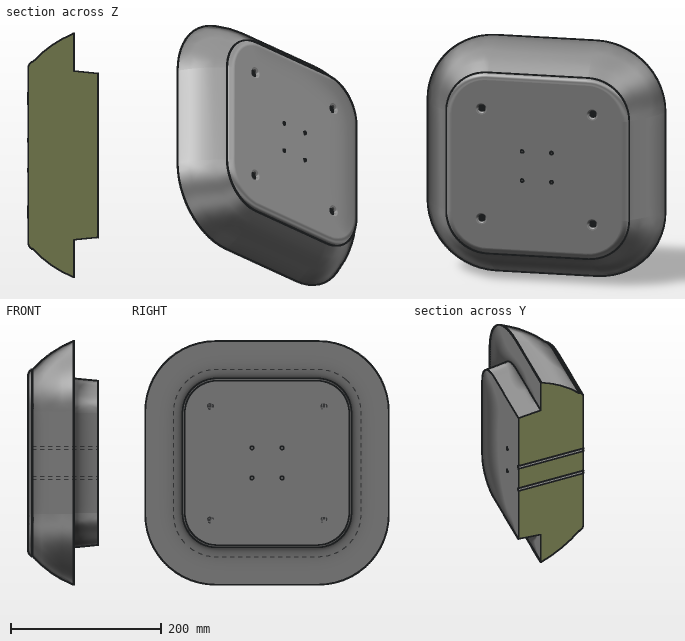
import cadquery as cq
import math

total_depth = 93.43
rim_size = 324.32
rim_back = 61.5
rim_band = 1.0
rim_corner_radius = 94.0

face_half = 115.3
shoulder_half = 124.6
shoulder_depth = 5.3
shoulder_band = 1.2
shoulder_bulge = 1.5
flank_bulge = 3.7

box_size = 225.0
box_corner_radius = 46.0
box_taper = 5.7

screw_spacing = 151.0
screw_mouth_diameter = 15.5
screw_floor_diameter = 8.0
screw_floor_depth = 5.0
cross_length = 6.0
cross_width = 1.6
cross_depth = 2.0
wire_hole_spacing = 40.0
wire_hole_diameter = 4.0

quarter_turn = 90
full_turn = 360
rim_half = rim_size / 2
corner_centre = rim_half - rim_corner_radius


def bulged_midpoint(start, end, bulge):
    """Point off the middle of a chord, to the outer front side of it."""
    run = end[0] - start[0]
    rise = end[1] - start[1]
    length = math.hypot(run, rise)
    return (
        (start[0] + end[0]) / 2 - bulge * rise / length,
        (start[1] + end[1]) / 2 + bulge * run / length,
    )


def dish_section(inner):
    """Dish cross-section in the XY plane, from the offset `inner` out to the rim."""
    face_edge = (0, face_half)
    shoulder = (shoulder_depth, shoulder_half)
    flank_start = (shoulder_depth + shoulder_band, shoulder_half)
    rim_front = (rim_back - rim_band, rim_half)
    return (
        cq.Workplane("XY")
        .moveTo(0, inner)
        .lineTo(*face_edge)
        .threePointArc(bulged_midpoint(face_edge, shoulder, shoulder_bulge), shoulder)
        .lineTo(*flank_start)
        .threePointArc(bulged_midpoint(flank_start, rim_front, flank_bulge), rim_front)
        .lineTo(rim_back, rim_half)
        .lineTo(rim_back, inner)
        .close()
    )


def make_dish():
    """Rounded-square dish: a core, four straight sides and four revolved corners."""
    core_size = 2 * corner_centre
    dish = cq.Workplane("YZ").rect(core_size, core_size).extrude(rim_back)
    side = dish_section(corner_centre).extrude(corner_centre, both=True)
    corner = dish_section(corner_centre).revolve(
        quarter_turn, (0, corner_centre, 0), (1, corner_centre, 0)
    ).translate((0, 0, corner_centre))
    for quarter in range(4):
        angle = quarter_turn * quarter
        dish = dish.union(side.rotate((0, 0, 0), (1, 0, 0), angle))
        dish = dish.union(corner.rotate((0, 0, 0), (1, 0, 0), angle))
    return dish


def make_box():
    """Rear box, narrowing towards the back."""
    outline = cq.Sketch().rect(box_size, box_size).vertices().fillet(box_corner_radius)
    return (
        cq.Workplane("YZ", origin=(rim_back, 0, 0))
        .placeSketch(outline)
        .extrude(total_depth - rim_back, taper=box_taper)
    )


def make_screw_holes():
    """Blind round-lipped recesses with a cross slot in the floor, one near each face corner."""
    floor_radius = screw_floor_diameter / 2
    mouth_radius = screw_mouth_diameter / 2
    lip_radius = mouth_radius - floor_radius
    lip_reach = lip_radius * math.sqrt(0.5)
    lip_middle = (lip_radius - lip_reach, mouth_radius - lip_reach)
    recess = (
        cq.Workplane("XY")
        .lineTo(0, mouth_radius)
        .threePointArc(lip_middle, (lip_radius, floor_radius))
        .lineTo(screw_floor_depth, floor_radius)
        .lineTo(screw_floor_depth, 0)
        .close()
        .revolve(full_turn, (0, 0, 0), (1, 0, 0))
    )
    slot_bottom = screw_floor_depth + cross_depth
    slot = cq.Workplane("YZ").rect(cross_length, cross_width).extrude(slot_bottom)
    hole = recess.union(slot).union(slot.rotate((0, 0, 0), (1, 0, 0), quarter_turn))
    half = screw_spacing / 2
    holes = cq.Workplane("YZ")
    for y in (-half, half):
        for z in (-half, half):
            holes = holes.add(hole.translate((0, y, z)))
    return holes.combine()


def make_wire_holes():
    """Four small holes through the full depth."""
    return (
        cq.Workplane("YZ")
        .rarray(wire_hole_spacing, wire_hole_spacing, 2, 2)
        .circle(wire_hole_diameter / 2)
        .extrude(total_depth)
    )


result = make_dish().union(make_box()).cut(make_screw_holes()).cut(make_wire_holes())